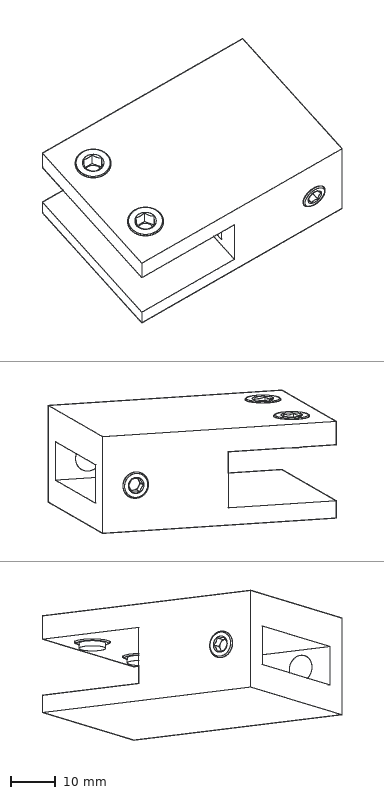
import cadquery as cq
import math

WIDTH = 38.0
LENGTH = 55.0
HEIGHT = 22.0
LOWER_LEG = 3.95
UPPER_LEG = 5.35
FORK_DEPTH = 25.4
WINDOW_WIDTH = 28.0
WINDOW_BOTTOM = 5.95
WINDOW_HEIGHT = 8.75

CLAMP_DIAMETER = 8.05
CLAMP_LENGTH = 5.85
CLAMP_PROUD = 0.3
CLAMP_HEAD_CHAMFER = 0.2
CLAMP_TIP_CHAMFER = 0.5
CLAMP_HEX = 4.0
CLAMP_HEX_DEPTH = 3.3
CLAMP_SPACING = 20.0
CLAMP_FROM_FRONT = 7.5

PAD_DIAMETER = 5.95
PAD_THICKNESS = 1.15
STEM_DIAMETER = 3.65

SIDE_DIAMETER = 6.0
SIDE_PROUD = 0.4
SIDE_HEAD_CHAMFER = 0.3
SIDE_HEX = 3.0
SIDE_HEX_DEPTH = 2.2
SIDE_FROM_BACK = 7.75
SIDE_HEIGHT = 10.5

RIM_CLEARANCE = 0.08
DRILL_POINT_ANGLE = 120.0

stem_length = CLAMP_LENGTH - CLAMP_HEX_DEPTH
side_wall = (WIDTH - WINDOW_WIDTH) / 2
side_length = side_wall + SIDE_PROUD
side_y = LENGTH - SIDE_FROM_BACK
clamp_top = HEIGHT + CLAMP_PROUD
clamp_bottom = clamp_top - CLAMP_LENGTH
clamp_xs = [-CLAMP_SPACING / 2, CLAMP_SPACING / 2]


def cylinder(diameter, bottom, height):
    """Upright cylinder on the Z axis."""
    return cq.Workplane("XY").workplane(offset=bottom).circle(diameter / 2).extrude(height)


def cone(radius, bottom_radius, top, depth):
    """Upright cone on the Z axis that narrows downward from the given top height."""
    return cq.Workplane(cq.Solid.makeCone(bottom_radius, radius, depth, cq.Vector(0, 0, top - depth)))


def cut_hex_socket(screw, across_flats, depth):
    """Hexagon socket from Z = 0 down, corners on the Y axis, with a 45 degree countersunk rim."""
    corner_radius = across_flats / 2 / math.cos(math.radians(30))
    hexagon = (
        cq.Workplane("XY")
        .transformed(rotate=(0, 0, 90))
        .polygon(6, 2 * corner_radius)
        .extrude(-depth)
    )
    rim_radius = corner_radius + RIM_CLEARANCE
    rim_depth = rim_radius - across_flats / 2
    return screw.cut(hexagon).cut(cone(rim_radius, across_flats / 2, 0, rim_depth))


def make_clamp_screw():
    """Clamp screw pointing down, with its head face at Z = 0 and a stem hole through its tip."""
    screw = cylinder(CLAMP_DIAMETER, -CLAMP_LENGTH, CLAMP_LENGTH)
    screw = screw.faces(">Z").chamfer(CLAMP_HEAD_CHAMFER).faces("<Z").chamfer(CLAMP_TIP_CHAMFER)
    screw = cut_hex_socket(screw, CLAMP_HEX, CLAMP_HEX_DEPTH)
    return screw.cut(cylinder(STEM_DIAMETER, -CLAMP_LENGTH, stem_length))


def make_pad():
    """Disc with its upper face at Z = 0 and a stem standing on it."""
    disc = cylinder(PAD_DIAMETER, -PAD_THICKNESS, PAD_THICKNESS)
    return disc.union(cylinder(STEM_DIAMETER, 0, stem_length))


def make_side_screw():
    """Side screw pointing down, with its head face at Z = 0 and a drill point below its socket."""
    screw = cylinder(SIDE_DIAMETER, -side_length, side_length).faces(">Z").chamfer(SIDE_HEAD_CHAMFER)
    screw = cut_hex_socket(screw, SIDE_HEX, SIDE_HEX_DEPTH)
    point_depth = SIDE_HEX / 2 / math.tan(math.radians(DRILL_POINT_ANGLE / 2))
    return screw.cut(cone(SIDE_HEX / 2, 0, -SIDE_HEX_DEPTH, point_depth))


def make_housing():
    """Forked block with its window and the bores for all four screws."""
    block = cq.Workplane("XY").box(WIDTH, LENGTH, HEIGHT, centered=(True, False, False))
    fork_gap = (
        cq.Workplane("XY")
        .workplane(offset=LOWER_LEG)
        .box(WIDTH, FORK_DEPTH, HEIGHT - LOWER_LEG - UPPER_LEG, centered=(True, False, False))
    )
    window = (
        cq.Workplane("XY")
        .workplane(offset=WINDOW_BOTTOM)
        .box(WINDOW_WIDTH, LENGTH, WINDOW_HEIGHT, centered=(True, False, False))
    )
    body = block.cut(fork_gap).cut(window)
    for x in clamp_xs:
        bore = cylinder(CLAMP_DIAMETER, HEIGHT - UPPER_LEG, UPPER_LEG)
        body = body.cut(bore.translate((x, CLAMP_FROM_FRONT, 0)))
    side_bore = (
        cq.Workplane("YZ", origin=(-WIDTH / 2, side_y, SIDE_HEIGHT))
        .circle(SIDE_DIAMETER / 2)
        .extrude(WIDTH)
    )
    return body.cut(side_bore)


housing = make_housing()

clamp_screws = []
pads = []
for x in clamp_xs:
    clamp_screws.append(make_clamp_screw().translate((x, CLAMP_FROM_FRONT, clamp_top)))
    pads.append(make_pad().translate((x, CLAMP_FROM_FRONT, clamp_bottom)))

side_screws = []
for side in (-1, 1):
    laid_screw = make_side_screw().rotate((0, 0, 0), (0, 1, 0), 90 * side)
    side_screws.append(laid_screw.translate((side * (WIDTH / 2 + SIDE_PROUD), side_y, SIDE_HEIGHT)))

bodies = [housing, *clamp_screws, *pads, *side_screws]
result = cq.Compound.makeCompound([body.solids().val() for body in bodies])